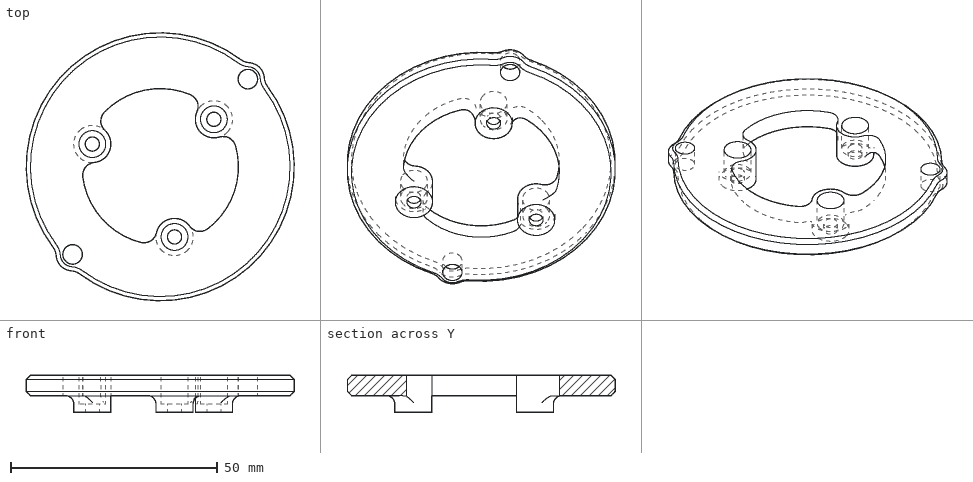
import cadquery as cq
import math

plate_diameter = 64.95
plate_thickness = 5.0
edge_chamfer = 1.05
opening_diameter = 37.8
opening_blend_radius = 3.0

total_height = 9.0
post_diameter = 9.0
post_circle_radius = 17.35
post_angles = [-78.5 + 120.0 * i for i in range(3)]
post_drop = total_height - plate_thickness
post_fillet_radius = post_drop / 2
screw_hole_diameter = 3.4
counterbore_diameter = 6.5
counterbore_floor = 2.0

lug_angles = [45.0, 225.0]
lug_circle_radius = 30.0
lug_radius = 4.0
lug_blend_radius = 4.0
lug_hole_diameter = 4.7

TOLERANCE = 0.0005


def cylinder(diameter, bottom, top):
    return cq.Workplane("XY").workplane(offset=bottom).circle(diameter / 2).extrude(top - bottom)


def polar_copy(body, radius, angle):
    """Move a body out along X, then turn it about the Z axis."""
    return body.translate((radius, 0, 0)).rotate((0, 0, 0), (0, 0, 1), angle)


def blend_junctions(body, disc_radius, lobe_circle, lobe_radius, angles, blend_radius):
    """Round the upright edges where the lobes meet the disc."""
    lobe_centers = [
        cq.Vector(lobe_circle * math.cos(math.radians(a)), lobe_circle * math.sin(math.radians(a)), 0)
        for a in angles
    ]

    def is_junction(edge):
        center = edge.Center()
        point = cq.Vector(center.x, center.y, 0)
        on_disc = abs(point.Length - disc_radius) < TOLERANCE
        on_lobe = any(abs((point - c).Length - lobe_radius) < TOLERANCE for c in lobe_centers)
        return on_disc and on_lobe

    return body.edges("|Z").filter(is_junction).fillet(blend_radius)


def make_plate():
    plate = cylinder(plate_diameter, post_drop, total_height)
    lug = cylinder(2 * lug_radius, post_drop, total_height)
    for angle in lug_angles:
        plate = plate.union(polar_copy(lug, lug_circle_radius, angle))
    plate = blend_junctions(
        plate, plate_diameter / 2, lug_circle_radius, lug_radius, lug_angles, lug_blend_radius
    )
    return plate.faces("<Z or >Z").chamfer(edge_chamfer)


def make_opening():
    """Full-height cutter: a disc notched by the posts, with rounded corners."""
    opening = cylinder(opening_diameter, 0, total_height)
    notch = cylinder(post_diameter, 0, total_height)
    for angle in post_angles:
        opening = opening.cut(polar_copy(notch, post_circle_radius, angle))
    return blend_junctions(
        opening,
        opening_diameter / 2,
        post_circle_radius,
        post_diameter / 2,
        post_angles,
        opening_blend_radius,
    )


def make_post():
    """Post whose foot flares into the underside of the plate."""
    radius = post_diameter / 2
    flare_start = post_drop - post_fillet_radius
    arc_offset = post_fillet_radius * (1 - math.sqrt(0.5))
    profile = (
        cq.Workplane("XZ")
        .lineTo(radius, 0)
        .lineTo(radius, flare_start)
        .threePointArc(
            (radius + arc_offset, post_drop - arc_offset),
            (radius + post_fillet_radius, post_drop),
        )
        .lineTo(0, post_drop)
        .close()
    )
    return profile.revolve(360, (0, 0, 0), (0, 1, 0))


result = make_plate()
for post_angle in post_angles:
    result = result.union(polar_copy(make_post(), post_circle_radius, post_angle))

result = result.cut(make_opening())

screw_hole = cylinder(screw_hole_diameter, 0, total_height)
counterbore = cylinder(counterbore_diameter, counterbore_floor, total_height)
for post_angle in post_angles:
    result = result.cut(polar_copy(screw_hole.union(counterbore), post_circle_radius, post_angle))

lug_hole = cylinder(lug_hole_diameter, post_drop, total_height)
for lug_angle in lug_angles:
    result = result.cut(polar_copy(lug_hole, lug_circle_radius, lug_angle))